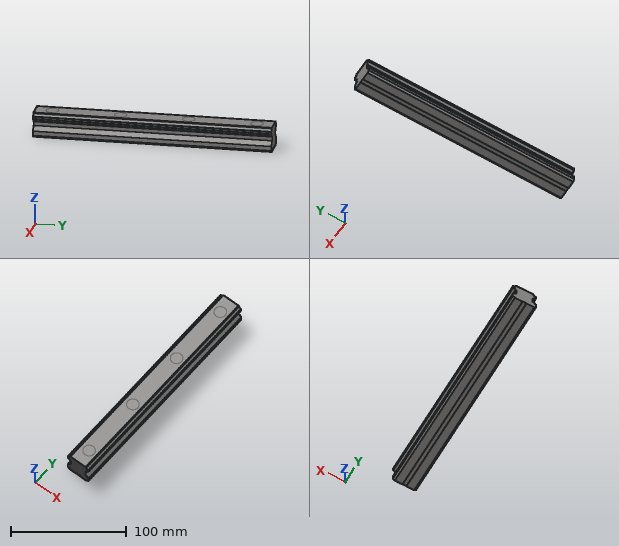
import cadquery as cq
import math

length = 210.0
width = 23.0
height = 22.0

head_half_width = 9.0
top_chamfer = 0.6
lip_top = 19.3
lip_bottom = 16.8
lip_edge_break = 0.5
lower_track_bottom = 14.5
track_bulge = 0.52

waist_half_width = 8.0
waist_top = 13.5
waist_bottom = 9.9
foot_top = 5.9
foot_chamfer = 1.9

relief_half_width = 1.9
relief_depth = 0.5

plug_count = 4
plug_pitch = 60.0
plug_diameter = 11.0
plug_thickness = 2.0

half_width = width / 2


def track_middle(start, end):
    """Point halfway along a track arc that bows in towards the middle of the rail."""
    dx = end[0] - start[0]
    dz = end[1] - start[1]
    chord = math.hypot(dx, dz)
    middle_x = (start[0] + end[0]) / 2 + track_bulge * dz / chord
    middle_z = (start[1] + end[1]) / 2 - track_bulge * dx / chord
    return (middle_x, middle_z)


def make_rail():
    """Extrude the right half of the section along Y, then mirror it across X = 0."""
    upper_inner = (head_half_width, height - top_chamfer)
    upper_outer = (half_width - lip_edge_break, lip_top)
    lower_outer = (half_width - lip_edge_break, lip_bottom)
    lower_inner = (head_half_width, lower_track_bottom)

    half_section = (
        cq.Workplane("XZ")
        .moveTo(0, height)
        .lineTo(head_half_width - top_chamfer, height)
        .lineTo(*upper_inner)
        .threePointArc(track_middle(upper_inner, upper_outer), upper_outer)
        .lineTo(half_width, lip_top - lip_edge_break)
        .lineTo(half_width, lip_bottom + lip_edge_break)
        .lineTo(*lower_outer)
        .threePointArc(track_middle(lower_outer, lower_inner), lower_inner)
        .lineTo(waist_half_width, waist_top)
        .lineTo(waist_half_width, waist_bottom)
        .lineTo(half_width, foot_top)
        .lineTo(half_width, foot_chamfer)
        .lineTo(half_width - foot_chamfer, 0)
        .lineTo(relief_half_width, 0)
        .lineTo(relief_half_width, relief_depth)
        .lineTo(0, relief_depth)
        .close()
    )
    half_rail = half_section.extrude(length / 2, both=True)
    return half_rail.union(half_rail.mirror("YZ"))


def make_plugs():
    """Row of discs whose upper faces lie flush with the top of the rail."""
    return (
        cq.Workplane("XY", origin=(0, 0, height))
        .rarray(2, plug_pitch, 1, plug_count)
        .circle(plug_diameter / 2)
        .extrude(-plug_thickness)
    )


plugs = make_plugs()
result = make_rail().cut(plugs).union(plugs, clean=False)